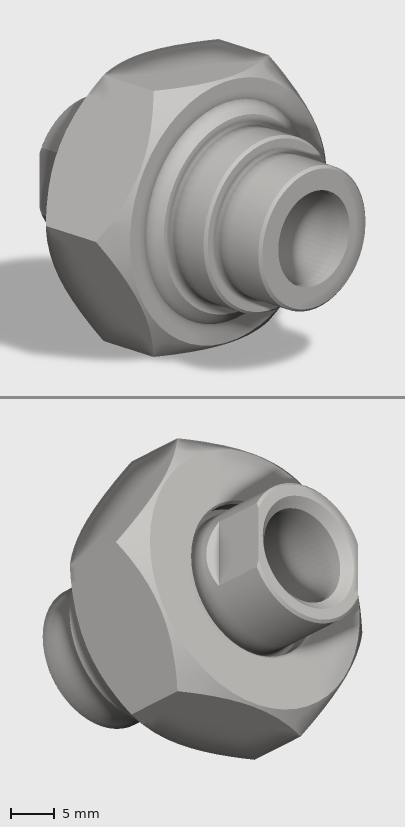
import cadquery as cq
import math

OVERALL_LENGTH = 37.0
BORE_RADIUS = 11.45 / 2
EDGE_CHAMFER = 0.35
ROOT_FILLET = 0.45
FILLET_MID = ROOT_FILLET * (1 - math.sqrt(0.5))

NUT_START = 9.45
NUT_LENGTH = 13.6
NUT_END = NUT_START + NUT_LENGTH
NUT_ACROSS_FLATS = 32.0
NUT_ACROSS_CORNERS = NUT_ACROSS_FLATS / math.cos(math.pi / 6)
NUT_FACE_RADIUS = 15.72
LIP_RADIUS = 18.5 / 2
LIP_CHAMFER = 0.3
LIP_THICKNESS = 2.22
LIP_END = NUT_START + LIP_THICKNESS

TAIL_RADIUS = 17.0 / 2
FLANGE_RADIUS = 24.12 / 2
FLANGE_THICKNESS = 2.95
FLANGE_END = LIP_END + FLANGE_THICKNESS
COUNTERSINK_RADIUS = 6.85
COUNTERSINK_DEPTH = 1.1
FLATS_WIDTH = 14.95
FLATS_LENGTH = 7.0

THREAD_RADIUS = 26.4 / 2
THREAD_NOSE_RADIUS = 23.5 / 2
THREAD_NOSE_END = NUT_END + THREAD_RADIUS - THREAD_NOSE_RADIUS
COLLAR_RADIUS = 21.0 / 2
COLLAR_END = 30.05
SPIGOT_RADIUS = 17.2 / 2


def revolve_about_x(profile):
    """Turn a closed (x, radius) profile into a solid around the X axis."""
    return profile.close().revolve(360, (0, 0, 0), (1, 0, 0))


def root_fillet(profile, x, radius):
    """Continue a profile, in the +X direction, from a face at x into a shaft of the given radius."""
    return profile.lineTo(x, radius + ROOT_FILLET).threePointArc(
        (x + FILLET_MID, radius + FILLET_MID), (x + ROOT_FILLET, radius)
    )


def make_nut():
    hexagon = (
        cq.Workplane("YZ", origin=(NUT_START, 0, 0))
        .polygon(6, NUT_ACROSS_CORNERS)
        .extrude(NUT_LENGTH)
    )
    corner_radius = NUT_ACROSS_CORNERS / 2
    bevelled_blank = (
        cq.Workplane("YZ", origin=(NUT_START, 0, 0))
        .circle(corner_radius)
        .extrude(NUT_LENGTH)
        .faces("<X or >X")
        .chamfer(corner_radius - NUT_FACE_RADIUS)
    )
    cavity = revolve_about_x(
        cq.Workplane("XY")
        .moveTo(NUT_START, 0)
        .lineTo(NUT_START, LIP_RADIUS + LIP_CHAMFER)
        .lineTo(NUT_START + LIP_CHAMFER, LIP_RADIUS)
        .lineTo(LIP_END, LIP_RADIUS)
        .lineTo(LIP_END, FLANGE_RADIUS)
        .lineTo(FLANGE_END, FLANGE_RADIUS)
        .lineTo(FLANGE_END, THREAD_RADIUS)
        .lineTo(NUT_END, THREAD_RADIUS)
        .lineTo(NUT_END, 0)
    )
    return hexagon.intersect(bevelled_blank).cut(cavity)


def make_flat_cutter():
    """Prism that leaves a flat on the +Y side, with a 45 degree run-out."""
    half_width = FLATS_WIDTH / 2
    rise = LIP_RADIUS - half_width
    return (
        cq.Workplane("XY")
        .moveTo(0, half_width)
        .lineTo(FLATS_LENGTH, half_width)
        .lineTo(FLATS_LENGTH + rise, LIP_RADIUS)
        .lineTo(0, LIP_RADIUS)
        .close()
        .extrude(TAIL_RADIUS, both=True)
    )


def make_tailpiece():
    tail = revolve_about_x(
        cq.Workplane("XY")
        .moveTo(0, COUNTERSINK_RADIUS)
        .lineTo(0, TAIL_RADIUS - EDGE_CHAMFER)
        .lineTo(EDGE_CHAMFER, TAIL_RADIUS)
        .lineTo(LIP_END - ROOT_FILLET, TAIL_RADIUS)
        .threePointArc(
            (LIP_END - FILLET_MID, TAIL_RADIUS + FILLET_MID),
            (LIP_END, TAIL_RADIUS + ROOT_FILLET),
        )
        .lineTo(LIP_END, FLANGE_RADIUS)
        .lineTo(FLANGE_END, FLANGE_RADIUS)
        .lineTo(FLANGE_END, BORE_RADIUS)
        .lineTo(COUNTERSINK_DEPTH, BORE_RADIUS)
    )
    flat_cutter = make_flat_cutter()
    return tail.cut(flat_cutter).cut(flat_cutter.mirror("XZ"))


def make_body():
    profile = (
        cq.Workplane("XY")
        .moveTo(FLANGE_END, BORE_RADIUS)
        .lineTo(FLANGE_END, THREAD_RADIUS)
        .lineTo(NUT_END, THREAD_RADIUS)
        .lineTo(THREAD_NOSE_END, THREAD_NOSE_RADIUS)
    )
    profile = (
        root_fillet(profile, THREAD_NOSE_END, COLLAR_RADIUS)
        .lineTo(COLLAR_END - EDGE_CHAMFER, COLLAR_RADIUS)
        .lineTo(COLLAR_END, COLLAR_RADIUS - EDGE_CHAMFER)
    )
    profile = (
        root_fillet(profile, COLLAR_END, SPIGOT_RADIUS)
        .lineTo(OVERALL_LENGTH - EDGE_CHAMFER, SPIGOT_RADIUS)
        .lineTo(OVERALL_LENGTH, SPIGOT_RADIUS - EDGE_CHAMFER)
        .lineTo(OVERALL_LENGTH, BORE_RADIUS)
    )
    return revolve_about_x(profile)


nut = make_nut()
tailpiece = make_tailpiece()
body = make_body()

result = cq.Compound.makeCompound([nut.val(), tailpiece.val(), body.val()])